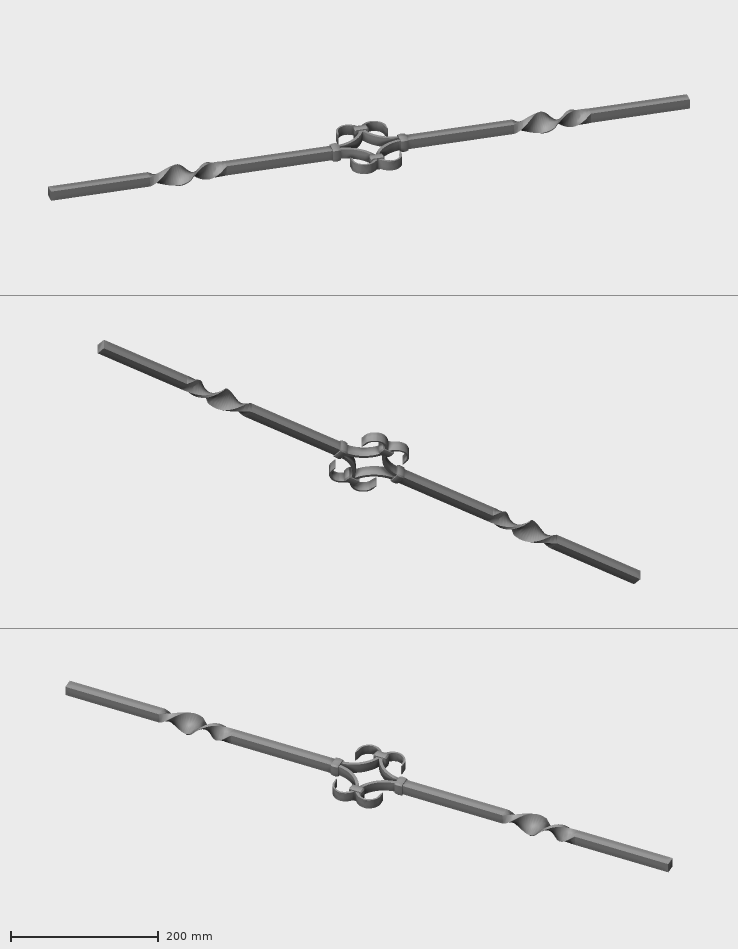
import cadquery as cq

total_length = 900.0
total_width = 111.0
half_length = total_length / 2
bar_size = 14.0

twist_centre = 256.5
twist_half_length = 54.0
twist_half_turn = 180.0
twist_middle_width = 38.0
twist_middle_thickness = 2.0
twist_width_power = 0.75
twist_thickness_power = 1.5
twist_steps = 8

collar_length = 11.0
collar_edge_size = 18.0
collar_crown = 1.0
collar_corner_size = 23.0
end_collar_outer = 53.0
side_collar_centre = 40.0

strip_thickness = 4.95
strip_gap = 4.0
strip_top = end_collar_outer - collar_length / 2
strip_straight_end = 40.5
bow_side = (13.0, 15.0)
bow_offset = 3.15
bow_end = 32.0
curl_start = 44.0
curl_start_slope = 0.7
curl_outer_x = total_width / 2
curl_outer_y = 19.0
curl_top = 35.0
curl_top_x = 40.0
curl_thickness = 3.0
tip_x = 31.0
tip_thickness = 1.1


def bar_section(y, width, thickness, angle):
    """Rectangular wire across the bar at y, turned about the bar's axis."""
    plane = cq.Plane(origin=(0, y, 0), xDir=(1, 0, 0), normal=(0, 1, 0))
    section = cq.Workplane(plane).rect(width, thickness).val()
    return section.rotate(cq.Vector(0, 0, 0), cq.Vector(0, 1, 0), angle)


def half_twist(direction):
    """Loft from the thin middle of the twist to the square bar on one side of it."""
    sections = []
    for step in range(twist_steps + 1):
        part = step / twist_steps
        width_change = (bar_size - twist_middle_width) * part ** twist_width_power
        thickness_change = (bar_size - twist_middle_thickness) * part ** twist_thickness_power
        width = twist_middle_width + width_change
        thickness = twist_middle_thickness + thickness_change
        y = twist_centre + direction * part * twist_half_length
        sections.append(bar_section(y, width, thickness, -direction * part * twist_half_turn))
    return cq.Workplane(cq.Solid.makeLoft(sections, False))


def straight_bar(start, end):
    """Plain square length of bar between two places on the Y axis."""
    return cq.Workplane("XY").box(bar_size, end - start, bar_size).translate((0, (start + end) / 2, 0))


def make_bar():
    """Bar on the +Y side, butting against its end collar."""
    bar = straight_bar(end_collar_outer, twist_centre - twist_half_length)
    for direction in (-1, 1):
        bar = bar.union(half_twist(direction))
    return bar.union(straight_bar(twist_centre + twist_half_length, half_length))


def crowned_prism(size):
    """Block about the Y axis whose two sides facing X are crowned along their length."""
    half_size = size / 2
    half_collar = collar_length / 2
    crown_x = half_size + collar_crown
    return (
        cq.Workplane("XY")
        .moveTo(-half_size, -half_collar)
        .lineTo(half_size, -half_collar)
        .threePointArc((crown_x, 0), (half_size, half_collar))
        .lineTo(-half_size, half_collar)
        .threePointArc((-crown_x, 0), (-half_size, -half_collar))
        .close()
        .extrude(2 * collar_corner_size)
        .translate((0, 0, -collar_corner_size))
    )


def make_collar():
    """Collar about the Y axis: square with cut corners, crowned along its length all around."""
    flats = crowned_prism(collar_edge_size)
    corners = crowned_prism(collar_corner_size)
    collar = flats.intersect(flats.rotate((0, 0, 0), (0, 1, 0), 90))
    for angle in (45, -45):
        collar = collar.intersect(corners.rotate((0, 0, 0), (0, 1, 0), angle))
    return collar


def make_strip():
    """Strip that bows from an end collar to a side collar and then curls back, thinning to a tip."""
    inner_x = strip_gap / 2
    outer_x = inner_x + strip_thickness
    curl_outer_face = [(curl_outer_x, curl_outer_y), (curl_top_x, curl_top), (tip_x, curl_top)]
    outer_tangents = [(1, curl_start_slope), (0, 1), (-1, 0), (-1, 0)]
    curl_inner_face = [
        (curl_top_x, curl_top - curl_thickness),
        (curl_outer_x - curl_thickness, curl_outer_y),
        (curl_start, strip_thickness),
    ]
    inner_tangents = [(1, 0), (1, 0), (0, -1), (-1, -curl_start_slope)]
    return (
        cq.Workplane("XY")
        .moveTo(inner_x, strip_top)
        .lineTo(inner_x, strip_straight_end)
        .threePointArc(bow_side, (bow_end, 0))
        .lineTo(curl_start, 0)
        .spline(curl_outer_face, tangents=outer_tangents, includeCurrent=True)
        .lineTo(tip_x, curl_top - tip_thickness)
        .spline(curl_inner_face, tangents=inner_tangents, includeCurrent=True)
        .lineTo(bow_end, strip_thickness)
        .threePointArc((bow_side[0] + bow_offset, bow_side[1] + bow_offset), (outer_x, strip_straight_end))
        .lineTo(outer_x, strip_top)
        .close()
        .extrude(bar_size)
        .translate((0, 0, -bar_size / 2))
    )


def make_ornament():
    """Four scroll strips bound together by two end collars and two side collars."""
    strip = make_strip()
    strip_pair = strip.union(strip.mirror("YZ"))
    ornament = strip_pair.union(strip_pair.mirror("XZ"))
    end_collar = make_collar()
    side_collar = end_collar.rotate((0, 0, 0), (0, 0, 1), 90)
    end_collar_centre = end_collar_outer - collar_length / 2
    for side in (-1, 1):
        ornament = ornament.union(end_collar.translate((0, side * end_collar_centre, 0)))
        ornament = ornament.union(side_collar.translate((side * side_collar_centre, 0, 0)))
    return ornament


bar = make_bar()
bars = [bar.rotate((0, 0, 0), (0, 0, 1), angle) for angle in (0, 180)]
ornament = make_ornament()

result = cq.Compound.makeCompound([*[each_bar.val() for each_bar in bars], ornament.val()])